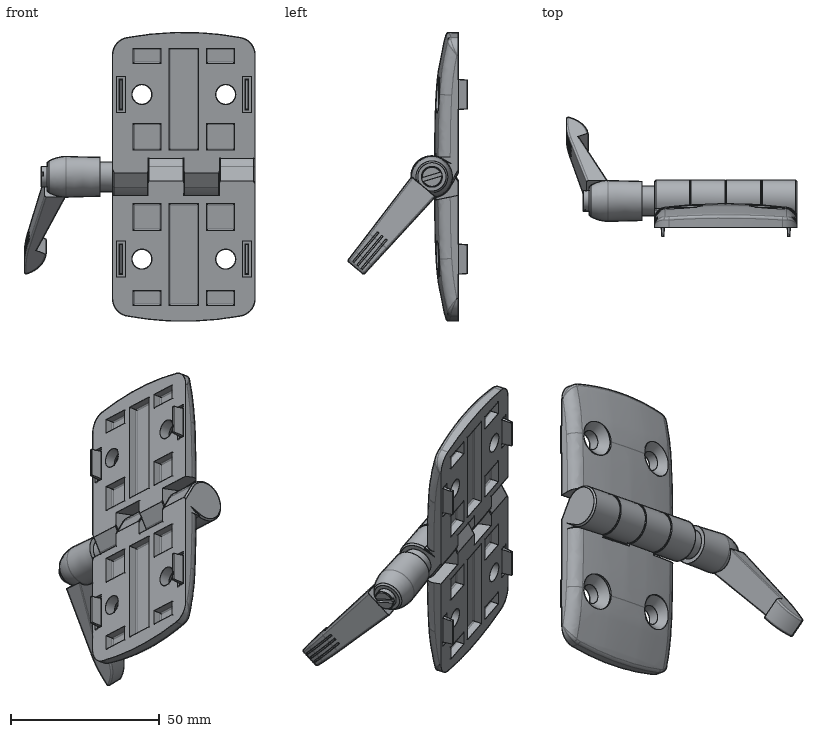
import cadquery as cq
import math

width = 47.9
half_height = 48.5
end_radius = 104.8
corner_radius = 6.0
crest_y = 8.05
crown_mid = (8.0, 17.0)
crown_break = (7.6, 27.6)
crown_end = (3.1, 51.4)
crown_radius = 169.75
crown_swing = 20.0
side_fillet = 4.1
end_fillet = 1.2
notch_front_z = 6.2
notch_back_z = 7.9
web_top_z = 6.6
web_foot_z = 3.1

axis_y = 8.9
knuckle_radius = 7.1
knuckle_front_z = 1.4
knuckle_count = 4
knuckle_width = width / knuckle_count
outer_chamfer = 0.6
inner_chamfer = 0.3

pocket_depth = 3.0
pocket_floor_fillet = 0.4
pocket_low_z = 9.0
pocket_high_z = 43.2
center_pocket_width = 9.9
side_pocket_width = 9.4
side_pocket_x = 12.3
square_pocket_height = 8.9
top_pocket_height = 5.0

hole_x = 14.1
hole_z = 27.6
hole_diameter = 6.6
head_diameter = 12.3
head_angle = 90.0
head_seat_y = 3.9
head_depth = (head_diameter - hole_diameter) / 2 / math.tan(math.radians(head_angle / 2))

tab_x = 21.1
tab_length = 10.3
tab_thickness = 1.3
tab_height = 3.0
tab_taper = 4.0
recess_width = 3.0
recess_length = 12.0
recess_depth = 1.0

leaf_end_x = -width / 2
collar_length = 4.2
collar_radius = 5.0
hub_start_x = leaf_end_x - collar_length
hub_start_radius = 6.6
hub_shoulder_x = -39.5
hub_shoulder_radius = 6.9
hub_bulge_x = -42.7
hub_bulge_radius = 6.4
hub_nose_x = -45.3
hub_nose_radius = 5.3
hub_face_x = -45.9
hub_face_radius = 4.8
screw_radius = 3.5
screw_seat_x = -45.1
screw_top_x = -48.0
screw_chamfer = 0.3
slot_width = 1.4
slot_depth = 1.0
slot_angle = 17.0

lever_angle = 50.0
lever_tip_u = 39.9
lever_left_x = -53.5
lever_tip_round = 0.8
root_half_width = 5.4
tip_half_width = 3.6
outer_edge_fillet = 0.6
inner_edge_fillet = 0.3
arm_root_inner = (-39.8, 4.6)
arm_root_outer = (-46.8, 4.4)
arm_bend = (-52.6, 28.1)
arm_bend_end = (lever_left_x, 35.7)
arm_pad_middle = (-48.4, 36.5)
arm_pad_start = (-46.2, 30.7)
arm_notch = (-49.5, 28.9)
arm_pad_limit_x = -48.1

groove_start_u = 25.9
groove_end_u = 38.8
groove_width = 0.6
groove_depth = 0.4
groove_reach = 2.4
groove_pitch = 1.8
groove_count = 3


def axis_disc(radius, start_x, end_x):
    """Cylinder on the hinge axis between two X positions."""
    return (
        cq.Workplane("YZ", origin=(start_x, 0, 0))
        .center(axis_y, 0)
        .circle(radius)
        .extrude(end_x - start_x)
    )


def crowned_block():
    """Oversized bar, crowned along and across its back, with its long back edges rounded."""
    axis_offset = crest_y - crown_radius
    inner_y = axis_offset / 2
    swept = (
        cq.Workplane("YZ")
        .moveTo(inner_y, notch_front_z)
        .lineTo(crest_y, notch_front_z)
        .threePointArc(crown_mid, crown_break)
        .tangentArcPoint(crown_end, relative=False)
        .lineTo(inner_y, crown_end[1])
        .close()
        .revolve(2 * crown_swing, (axis_offset, 0), (axis_offset, 1))
        .rotate((0, axis_offset, 0), (0, axis_offset, 1), -crown_swing)
    )
    bar = cq.Workplane("XY").box(width, 4 * crest_y, 3 * half_height)
    return bar.intersect(swept).faces("<X or >X").edges(">Y").fillet(side_fillet)


def leaf_outline():
    """Flat outline of the leaf: arched outer end with rounded corners, extruded backwards."""
    half = width / 2
    shoulder_z = half_height - end_radius + math.sqrt(end_radius**2 - half**2)
    return (
        cq.Workplane("XZ")
        .moveTo(-half, 0)
        .lineTo(-half, shoulder_z)
        .threePointArc((0, half_height), (half, shoulder_z))
        .lineTo(half, 0)
        .close()
        .extrude(-2 * crest_y)
        .edges("|Y")
        .edges(">Z")
        .fillet(corner_radius)
    )


def leaf_plate():
    """Crowned plate with a rounded outer end."""
    plate = leaf_outline().intersect(crowned_block())
    end_edges = cq.selectors.BoxSelector(
        (-width / 2 + corner_radius, 0.1, half_height - corner_radius),
        (width / 2 - corner_radius, crest_y, half_height + 1),
    )
    return plate.edges(end_edges).fillet(end_fillet)


def knuckle_start(index):
    """X position where a knuckle begins."""
    return leaf_end_x + index * knuckle_width


def knuckle_notch(index):
    """Sloped clearance cut for a knuckle of the other leaf."""
    return (
        cq.Workplane("YZ", origin=(knuckle_start(index), 0, 0))
        .polyline([(0, 0), (0, notch_front_z), (crest_y, notch_back_z), (crest_y, 0)])
        .close()
        .extrude(knuckle_width)
    )


def knuckle(index):
    """Barrel with a web that joins it to the leaf; its front face is tangent to the barrel."""
    distance = math.hypot(axis_y, knuckle_front_z)
    slope = math.asin(knuckle_radius / distance) + math.atan2(knuckle_front_z, axis_y)
    tangent_length = math.sqrt(distance**2 - knuckle_radius**2)
    tangent_y = tangent_length * math.cos(slope)
    tangent_z = knuckle_front_z - tangent_length * math.sin(slope)
    back_y = axis_y + knuckle_radius
    join_y = axis_y - math.sqrt(knuckle_radius**2 - web_top_z**2)
    body = (
        cq.Workplane("YZ", origin=(knuckle_start(index), 0, 0))
        .moveTo(0, knuckle_front_z)
        .lineTo(tangent_y, tangent_z)
        .threePointArc((back_y, 0), (join_y, web_top_z))
        .lineTo(0, web_foot_z)
        .close()
        .extrude(knuckle_width)
    )
    web = (
        cq.Workplane("YZ", origin=(knuckle_start(index), 0, 0))
        .polyline([(0, web_foot_z), (join_y, web_top_z), (0, web_top_z)])
        .close()
        .extrude(knuckle_width)
    )
    tip_box = cq.selectors.BoxSelector(
        (-width, 0.1, -knuckle_radius - 1), (width, back_y + 1, web_foot_z)
    )
    start_chamfer = outer_chamfer if index == 0 else inner_chamfer
    body = body.faces("<X").edges(tip_box).chamfer(start_chamfer)
    body = body.faces(">X").edges(tip_box).chamfer(inner_chamfer)
    return body.union(web)


def pocket(center_x, pocket_width, low_z, high_z):
    """Rectangular pocket cutter with rounded floor edges."""
    return (
        cq.Workplane("XY")
        .box(pocket_width, pocket_depth, high_z - low_z, centered=(True, False, False))
        .faces(">Y")
        .edges()
        .fillet(pocket_floor_fillet)
        .translate((center_x, 0, low_z))
    )


def cut_pockets(leaf):
    """Long centre pocket with a square and a low pocket on each side of it."""
    leaf = leaf.cut(pocket(0, center_pocket_width, pocket_low_z, pocket_high_z))
    for x in (-side_pocket_x, side_pocket_x):
        leaf = leaf.cut(pocket(x, side_pocket_width, pocket_low_z, pocket_low_z + square_pocket_height))
        leaf = leaf.cut(pocket(x, side_pocket_width, pocket_high_z - top_pocket_height, pocket_high_z))
    return leaf


def cut_screw_holes(leaf):
    """Through holes countersunk from the crowned back."""
    head_radius = head_diameter / 2
    hole_radius = hole_diameter / 2
    cutter = (
        cq.Workplane("XY")
        .polyline(
            [
                (0, 0),
                (hole_radius, 0),
                (hole_radius, head_seat_y),
                (head_radius, head_seat_y + head_depth),
                (head_radius, 2 * crest_y),
                (0, 2 * crest_y),
            ]
        )
        .close()
        .revolve(360, (0, 0), (0, 1))
    )
    for x in (-hole_x, hole_x):
        leaf = leaf.cut(cutter.translate((x, 0, hole_z)))
    return leaf


def add_tabs(leaf):
    """Tapered locating tabs that rise from shallow recesses near the side edges."""
    recess = cq.Workplane("XY").box(recess_width, 2 * recess_depth, recess_length)
    tab = (
        cq.Workplane("XZ", origin=(0, recess_depth, 0))
        .rect(tab_thickness, tab_length)
        .extrude(recess_depth + tab_height, taper=tab_taper)
    )
    for x in (-tab_x, tab_x):
        place = (x, 0, hole_z)
        leaf = leaf.cut(recess.translate(place)).union(tab.translate(place))
    return leaf


def make_leaf():
    """Upper leaf, which carries every second knuckle starting at the lever end."""
    leaf = leaf_plate()
    for index in range(0, knuckle_count, 2):
        leaf = leaf.cut(knuckle_notch(index + 1))
        leaf = leaf.union(knuckle(index))
    leaf = cut_pockets(leaf)
    leaf = cut_screw_holes(leaf)
    return add_tabs(leaf)


def lever_hub():
    """Barrel-shaped hub with a flat seat for the screw."""
    return (
        cq.Workplane("XY")
        .moveTo(hub_start_x, 0)
        .lineTo(hub_start_x, hub_start_radius)
        .lineTo(hub_shoulder_x, hub_shoulder_radius)
        .threePointArc((hub_bulge_x, hub_bulge_radius), (hub_nose_x, hub_nose_radius))
        .lineTo(hub_face_x, hub_face_radius)
        .lineTo(hub_face_x, 0)
        .close()
        .revolve(360, (0, 0), (1, 0))
        .translate((0, axis_y, 0))
    )


def arm_side_shape():
    """Side outline of the arm in (x, u), extruded across its full width."""
    corner = lever_tip_round * (1 - math.sqrt(0.5))
    return (
        cq.Workplane("XY")
        .moveTo(*arm_root_inner)
        .lineTo(*arm_root_outer)
        .lineTo(*arm_bend)
        .tangentArcPoint(arm_bend_end, relative=False)
        .lineTo(lever_left_x, lever_tip_u - lever_tip_round)
        .threePointArc(
            (lever_left_x + corner, lever_tip_u - corner),
            (lever_left_x + lever_tip_round, lever_tip_u),
        )
        .threePointArc(arm_pad_middle, arm_pad_start)
        .lineTo(*arm_notch)
        .close()
        .extrude(root_half_width, both=True)
    )


def round_arm_edges(arm):
    """Round the long edges of the arm: more on the outer face and pad, less on the inner face."""
    outer_edges = cq.selectors.BoxSelector(
        (lever_left_x - 1, arm_root_inner[1], -width), (arm_pad_limit_x, lever_tip_u + 1, width)
    )
    inner_edges = cq.selectors.BoxSelector(
        (arm_pad_start[0], arm_root_inner[1] + 1, -width), (arm_root_inner[0], arm_notch[1], width)
    )
    arm = arm.faces("<Z or >Z").edges(outer_edges).fillet(outer_edge_fillet)
    return arm.faces("<Z or >Z").edges(inner_edges).fillet(inner_edge_fillet)


def cut_grip_grooves(arm):
    """Shallow grooves that follow the outer face near the tip."""
    core = arm_side_shape().translate((groove_depth, 0, 0))
    length = groove_end_u - groove_start_u
    for index in range(groove_count):
        z = (index - (groove_count - 1) / 2) * groove_pitch
        slab = (
            cq.Workplane("XY")
            .box(2 * groove_reach, length, groove_width)
            .translate((lever_left_x, groove_start_u + length / 2, z))
        )
        arm = arm.cut(slab.cut(core))
    return arm


def lever_arm():
    """Arm that narrows towards its tip, built along Y and then turned to its clamped angle."""
    taper = (
        cq.Workplane("YZ", origin=(lever_left_x - 1, 0, 0))
        .polyline(
            [
                (0, -root_half_width),
                (lever_tip_u, -tip_half_width),
                (lever_tip_u, tip_half_width),
                (0, root_half_width),
            ]
        )
        .close()
        .extrude(hub_start_x - lever_left_x)
    )
    arm = round_arm_edges(arm_side_shape().intersect(taper))
    arm = cut_grip_grooves(arm)
    return arm.rotate((0, 0, 0), (1, 0, 0), -lever_angle).translate((0, axis_y, 0))


def make_lever():
    """Hub and arm in one piece, recessed for the screw head."""
    recess = axis_disc(screw_radius, lever_left_x, screw_seat_x)
    return lever_hub().union(lever_arm()).cut(recess)


def make_collar():
    """Plain collar between the hub and the first knuckle."""
    return axis_disc(collar_radius, hub_start_x, leaf_end_x)


def make_screw():
    """Slotted screw head seated in the hub."""
    head = axis_disc(screw_radius, screw_top_x, screw_seat_x).faces("<X").chamfer(screw_chamfer)
    slot = (
        cq.Workplane("XY")
        .box(2 * slot_depth, 3 * screw_radius, slot_width)
        .rotate((0, 0, 0), (1, 0, 0), -slot_angle)
        .translate((screw_top_x, axis_y, 0))
    )
    return head.cut(slot)


upper_leaf = make_leaf()
lower_leaf = make_leaf().rotate((0, 0, 0), (0, 1, 0), 180)
lever = make_lever()
collar = make_collar()
screw = make_screw()

result = cq.Compound.makeCompound(
    [upper_leaf.val(), lower_leaf.val(), lever.val(), collar.val(), screw.val()]
)